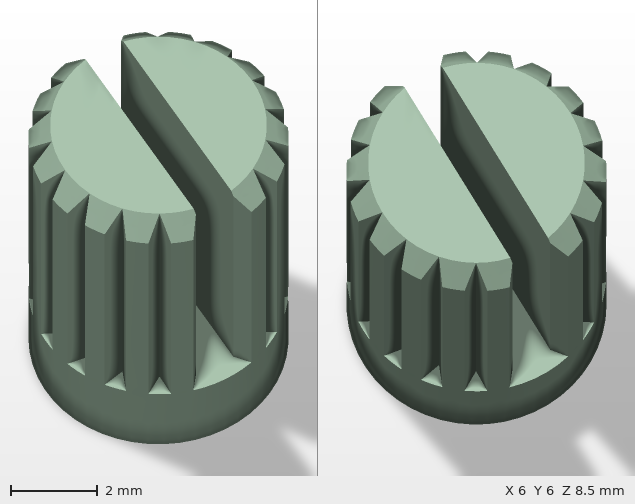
import cadquery as cq
import math

height = 8.5
radius = 3.0
collar_height = 2.0
chamfer_size = 0.5

groove_count = 18
groove_pitch = 360.0 / groove_count
groove_half_angle = math.radians(groove_pitch / 4)
groove_root_radius = radius - chamfer_size
first_groove_angle = 90.0

slot_width = 1.0

grip_height = height - collar_height


def make_body():
    """Plain cylinder with a chamfered top rim."""
    return cq.Workplane("XY").circle(radius).extrude(height).faces(">Z").chamfer(chamfer_size)


def make_groove(angle):
    """V-shaped cutter whose sides cross the rim at the groove's edges."""
    mouth_x = radius * math.cos(groove_half_angle)
    mouth_half_width = radius * math.sin(groove_half_angle)
    outer_x = 2 * mouth_x - groove_root_radius
    outer_half_width = 2 * mouth_half_width
    return (
        cq.Workplane("XY")
        .workplane(offset=collar_height)
        .moveTo(groove_root_radius, 0)
        .lineTo(outer_x, -outer_half_width)
        .lineTo(outer_x, outer_half_width)
        .close()
        .extrude(grip_height)
        .rotate((0, 0, 0), (0, 0, 1), angle)
    )


def make_slot():
    """Cutter for the slot across the top, running along X down to the collar."""
    return (
        cq.Workplane("XY")
        .workplane(offset=collar_height)
        .rect(2 * radius, slot_width)
        .extrude(grip_height)
    )


result = make_body()
for index in range(groove_count):
    result = result.cut(make_groove(first_groove_angle + index * groove_pitch))
result = result.cut(make_slot())